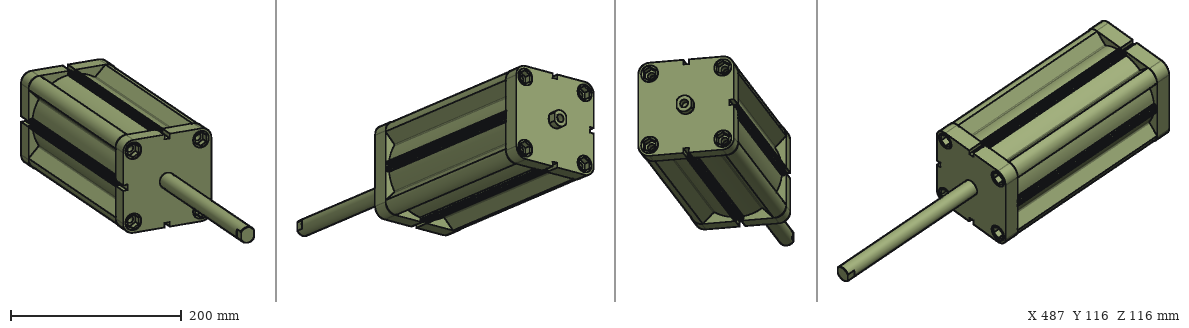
import cadquery as cq
import math

TOTAL_LENGTH = 487.0
SIDE = 116.0
HALF_SIDE = SIDE / 2
REAR_STUB = 9.5
CAP_LENGTH = 20.0
BARREL_LENGTH = 227.5
REAR_CAP_START = -TOTAL_LENGTH / 2 + REAR_STUB
BARREL_START = REAR_CAP_START + CAP_LENGTH
FRONT_CAP_START = BARREL_START + BARREL_LENGTH

ROD_RADIUS = 10.0
ROD_ACROSS_FLATS = 17.0
FRONT_FLAT_LENGTH = 10.0
ROD_TIP_CHAMFER = 0.5
CENTRE_HOLE_RADIUS = 5.0
CENTRE_HOLE_DEPTH = 9.5
CENTRE_HOLE_POINT = 3.0

BOLT_SPACING = 88.5
BOLT_HOLE_RADIUS = 4.5
FACE_RECESS_RADIUS = 10.0
FACE_RECESS_DEPTH = 1.0
SOCKET_ACROSS_FLATS = 14.5
SOCKET_DEPTH = 9.5

CAP_CORNER_RADIUS = 13.5
NOTCH_WIDTH = 7.0
NOTCH_DEPTH = 6.0
NOTCH_ANGLES = (0, 90, 270)

BARREL_CORNER_RADIUS = 15.0
TUBE_RADIUS = 53.0
RECESS_FILLET = 1.5
RAIL_HALF_WIDTH = 6.5
RAIL_TOP_HALF_WIDTH = 3.65
SLOT_HALF_OPENING = 2.2
SLOT_HALF_WIDTH = 4.5
LIP_THICKNESS = 2.0
SLOT_DEPTH = 5.0


def plane_at(x):
    """Cross-section plane at x: local x runs along +Y, local y along +Z."""
    return cq.Workplane("YZ", origin=(x, 0, 0))


def turned(shape, angle):
    """Turn a shape about the X axis."""
    return shape.rotate((0, 0, 0), (1, 0, 0), angle)


def rounded_square(x, length, corner_radius):
    """Square block of the full side width with rounded edges along X."""
    return plane_at(x).rect(SIDE, SIDE).extrude(length).edges("|X").fillet(corner_radius)


def bolt_centres(x):
    """Workplane at x with the four tie bolt centres selected."""
    return plane_at(x).rect(BOLT_SPACING, BOLT_SPACING, forConstruction=True).vertices()


def bolt_holes(x, length):
    return bolt_centres(x).circle(BOLT_HOLE_RADIUS).extrude(length)


def hex_sockets(x, length):
    """Four hexagonal prisms on the tie bolt centres, with corners pointing up and down."""
    across_corners = 2 * SOCKET_ACROSS_FLATS / math.sqrt(3)
    corners_up = cq.Plane(origin=(x, 0, 0), xDir=(0, 0, 1), normal=(1, 0, 0))
    centres = cq.Workplane(corners_up).rect(BOLT_SPACING, BOLT_SPACING, forConstruction=True).vertices()
    return centres.polygon(6, across_corners).extrude(length)


def rod_cylinder(x, length):
    return plane_at(x).circle(ROD_RADIUS).extrude(length)


def make_cap(x, outer_face_x, inward):
    """End cap; inward is the X direction (+1 or -1) from its outer face into the cylinder."""
    cap = rounded_square(x, CAP_LENGTH, CAP_CORNER_RADIUS)
    notch = (
        plane_at(x)
        .center(-HALF_SIDE + NOTCH_DEPTH / 2, 0)
        .rect(NOTCH_DEPTH, NOTCH_WIDTH)
        .extrude(CAP_LENGTH)
    )
    for angle in NOTCH_ANGLES:
        cap = cap.cut(turned(notch, angle))
    cap = cap.cut(bolt_holes(x, CAP_LENGTH))
    cap = cap.cut(bolt_centres(outer_face_x).circle(FACE_RECESS_RADIUS).extrude(inward * FACE_RECESS_DEPTH))
    cap = cap.cut(hex_sockets(outer_face_x, inward * SOCKET_DEPTH))
    return cap.cut(rod_cylinder(x, CAP_LENGTH))


def side_recess():
    """Space between two corner posts on the -Y side: 45 degree walls down to the round tube."""
    mouth = HALF_SIDE - BARREL_CORNER_RADIUS
    wedge = (
        plane_at(BARREL_START)
        .polyline([(-HALF_SIDE, -mouth), (-HALF_SIDE, mouth), (-HALF_SIDE + mouth, 0)])
        .close()
        .extrude(BARREL_LENGTH)
    )
    recess = wedge.cut(plane_at(BARREL_START).circle(TUBE_RADIUS).extrude(BARREL_LENGTH))
    return recess.edges("|X").edges(">Y").fillet(RECESS_FILLET)


def sensor_rail():
    """Solid rail on the -Y side of the tube, with 45 degree bevels on its outer edges."""
    shoulder = -HALF_SIDE + RAIL_HALF_WIDTH - RAIL_TOP_HALF_WIDTH
    root = -math.sqrt(TUBE_RADIUS**2 - RAIL_HALF_WIDTH**2) + LIP_THICKNESS
    return (
        plane_at(BARREL_START)
        .moveTo(root, -RAIL_HALF_WIDTH)
        .lineTo(shoulder, -RAIL_HALF_WIDTH)
        .lineTo(-HALF_SIDE, -RAIL_TOP_HALF_WIDTH)
        .lineTo(-HALF_SIDE, RAIL_TOP_HALF_WIDTH)
        .lineTo(shoulder, RAIL_HALF_WIDTH)
        .lineTo(root, RAIL_HALF_WIDTH)
        .close()
        .extrude(BARREL_LENGTH)
    )


def sensor_slot():
    """Slot in the rail: a narrow mouth over a wider space that tapers to its floor."""
    lip = -HALF_SIDE + LIP_THICKNESS
    floor = -HALF_SIDE + SLOT_DEPTH
    return (
        plane_at(BARREL_START)
        .moveTo(-HALF_SIDE, -SLOT_HALF_OPENING)
        .lineTo(lip, -SLOT_HALF_OPENING)
        .lineTo(lip, -SLOT_HALF_WIDTH)
        .lineTo(floor, -SLOT_HALF_OPENING)
        .lineTo(floor, SLOT_HALF_OPENING)
        .lineTo(lip, SLOT_HALF_WIDTH)
        .lineTo(lip, SLOT_HALF_OPENING)
        .lineTo(-HALF_SIDE, SLOT_HALF_OPENING)
        .close()
        .extrude(BARREL_LENGTH)
    )


def make_barrel():
    """Extruded barrel: round tube, four corner posts and a slotted rail on each side."""
    side_angles = (0, 90, 180, 270)
    barrel = rounded_square(BARREL_START, BARREL_LENGTH, BARREL_CORNER_RADIUS)
    for angle in side_angles:
        barrel = barrel.cut(turned(side_recess(), angle))
    for angle in side_angles:
        barrel = barrel.union(turned(sensor_rail(), angle)).cut(turned(sensor_slot(), angle))
    barrel = barrel.cut(bolt_holes(BARREL_START, BARREL_LENGTH))
    return barrel.cut(rod_cylinder(BARREL_START, BARREL_LENGTH))


def flatted_end(x, length):
    """Material removed to leave two flats facing -Y and +Y."""
    block = plane_at(x).rect(SIDE, SIDE).extrude(length)
    return block.cut(plane_at(x).rect(ROD_ACROSS_FLATS, SIDE).extrude(length))


def make_rod():
    """Through rod with flats at both ends and a centre hole in its rear end."""
    rear_end = -TOTAL_LENGTH / 2
    front_end = TOTAL_LENGTH / 2
    rod = rod_cylinder(rear_end, TOTAL_LENGTH)
    rod = rod.faces(">X").chamfer(ROD_TIP_CHAMFER)
    rod = rod.cut(flatted_end(rear_end, REAR_STUB))
    rod = rod.cut(flatted_end(front_end - FRONT_FLAT_LENGTH, FRONT_FLAT_LENGTH))
    centre_hole = plane_at(rear_end).circle(CENTRE_HOLE_RADIUS).extrude(CENTRE_HOLE_DEPTH)
    point = cq.Solid.makeCone(
        CENTRE_HOLE_RADIUS,
        0,
        CENTRE_HOLE_POINT,
        cq.Vector(rear_end + CENTRE_HOLE_DEPTH, 0, 0),
        cq.Vector(1, 0, 0),
    )
    return rod.cut(centre_hole).cut(cq.Workplane(point))


rear_cap = make_cap(REAR_CAP_START, REAR_CAP_START, 1)
front_cap = make_cap(FRONT_CAP_START, FRONT_CAP_START + CAP_LENGTH, -1)
barrel = make_barrel()
rod = make_rod()

result = cq.Compound.makeCompound([rear_cap.val(), front_cap.val(), barrel.val(), rod.val()])